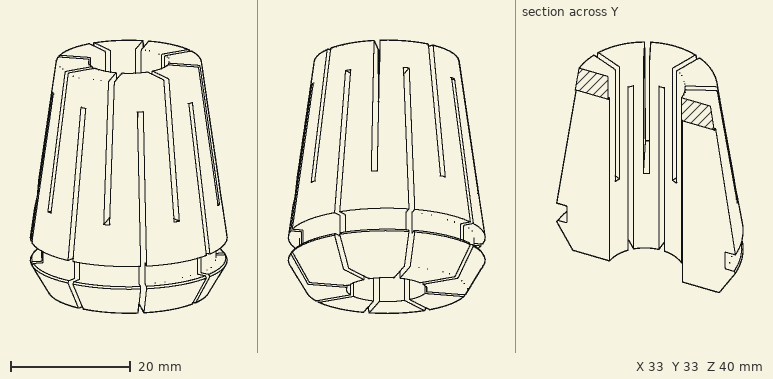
import cadquery as cq
import math

length = 40.0
max_radius = 16.5
bore_radius = 13.5 / 2

taper_angle = 8.0
taper_base_z = 9.1

groove_radius = 14.6
groove_floor_z = 5.5
rim_z = 5.15
rim_bevel = 0.25
nose_angle = 30.0

corner_round = 0.2
taper_end_round = 0.3

slit_width = 1.0
slits_per_end = 8
lower_slit_top_z = 35.0
upper_slit_floor_z = 16.0

slit_pitch = 360.0 / slits_per_end
taper_top_radius = max_radius - (length - taper_base_z) * math.tan(math.radians(taper_angle))
nose_radius = max_radius - rim_z * math.tan(math.radians(nose_angle))

match_tolerance = 0.005


def collet_body():
    """Revolve the half section, given as (radius, z), around the Z axis."""
    section = [
        (bore_radius, 0),
        (nose_radius, 0),
        (max_radius, rim_z),
        (max_radius - rim_bevel, groove_floor_z),
        (groove_radius, groove_floor_z),
        (groove_radius, taper_base_z),
        (max_radius, taper_base_z),
        (taper_top_radius, length),
        (bore_radius, length),
    ]
    return cq.Workplane("XZ").polyline(section).close().revolve(360, (0, 0), (0, 1))


def round_circles(body, circles, round_radius):
    """Fillet the circular edges of the body given as (radius, z)."""

    def is_listed(edge):
        return any(
            math.isclose(edge.radius(), radius, abs_tol=match_tolerance)
            and math.isclose(edge.Center().z, z, abs_tol=match_tolerance)
            for radius, z in circles
        )

    return body.edges("%CIRCLE").filter(is_listed).fillet(round_radius)


def radial_slits(bottom_z, top_z, first_angle):
    """One ring of slit cutters, each reaching from the axis past the outer wall."""
    blade = (
        cq.Workplane("XY")
        .workplane(offset=bottom_z)
        .rect(2 * max_radius + slit_width, slit_width)
        .extrude(top_z - bottom_z)
    )
    cutters = cq.Workplane("XY")
    for index in range(slits_per_end // 2):
        angle = first_angle + index * slit_pitch
        cutters = cutters.union(blade.rotate((0, 0, 0), (0, 0, 1), angle))
    return cutters


corner_circles = [
    (nose_radius, 0),
    (groove_radius, groove_floor_z),
    (groove_radius, taper_base_z),
    (bore_radius, length),
]
rounded_body = round_circles(collet_body(), corner_circles, corner_round)
rounded_body = round_circles(rounded_body, [(taper_top_radius, length)], taper_end_round)

lower_slits = radial_slits(0, lower_slit_top_z, 0)
upper_slits = radial_slits(upper_slit_floor_z, length, slit_pitch / 2)

result = rounded_body.cut(lower_slits).cut(upper_slits)